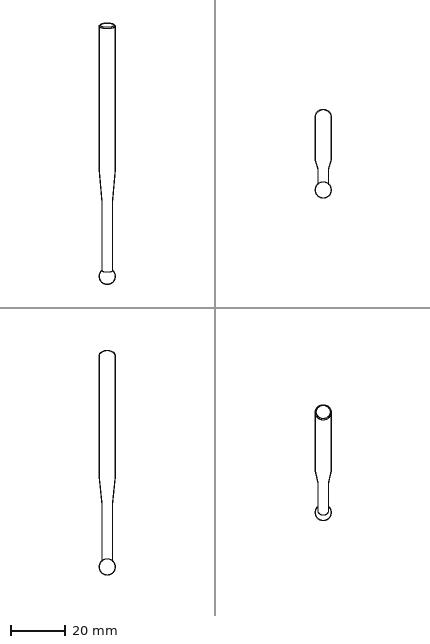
import cadquery as cq
import math

total_length = 100.0
shank_radius = 3.0
shank_length = 56.0
shank_chamfer = 0.4
taper_length = 12.0
neck_radius = 2.0
ball_radius = 3.0

shank_bottom = total_length - shank_length
taper_bottom = shank_bottom - taper_length
neck_bottom = ball_radius + math.sqrt(ball_radius**2 - neck_radius**2)

profile = (
    cq.Workplane("XZ")
    .moveTo(0, 0)
    .threePointArc((ball_radius, ball_radius), (neck_radius, neck_bottom))
    .lineTo(neck_radius, taper_bottom)
    .lineTo(shank_radius, shank_bottom)
    .lineTo(shank_radius, total_length - shank_chamfer)
    .lineTo(shank_radius - shank_chamfer, total_length)
    .lineTo(0, total_length)
    .close()
)

result = profile.revolve(360, (0, 0), (0, 1))